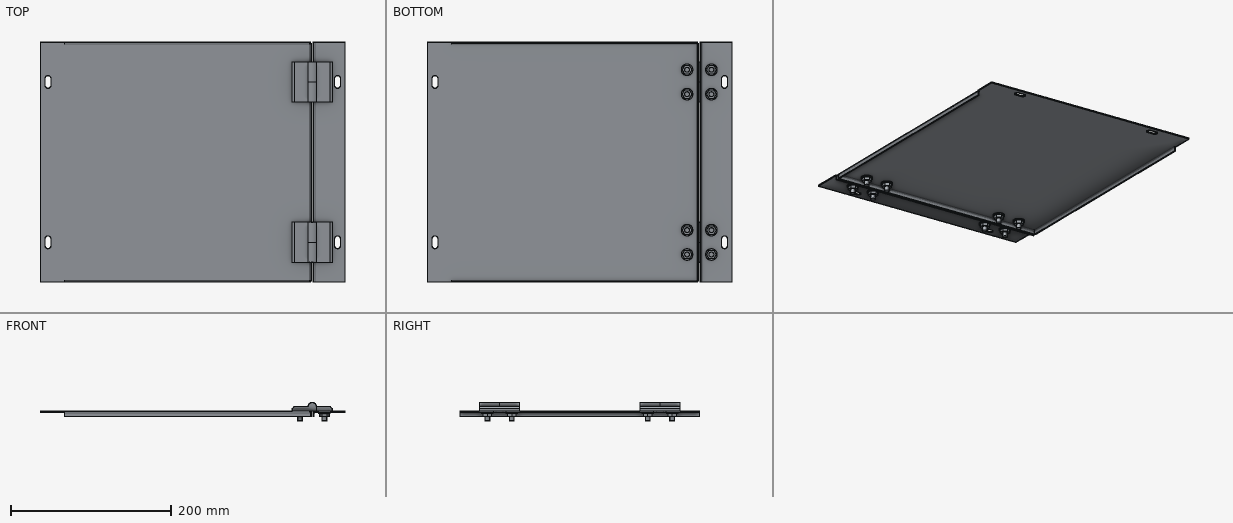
import cadquery as cq

LENGTH = 380.0
WIDTH = 299.0
HINGE_X = 149.0
GAP = 2.0

SHEET = 1.5
BEND_RADIUS = 2.3
FLANGE_DEPTH = 7.0
PLAIN_END = 30.0
CORNER_OVERLAP = 1.0

SLOT_WIDTH = 7.2
SLOT_LENGTH = 15.5
SLOT_INSET = 9.5
STATION_Y = 100.0

HINGE_SIZE = 50.0
LEAF_HEIGHT = 6.0
LEAF_BEVEL = 3.0
KNUCKLE_WIDTH = 10.3
KNUCKLE_HEIGHT = 11.0

STUD_OFFSET = 15.2
STUD_DIAMETER = 6.0
STUD_BOTTOM = -12.0
NUT_FLANGE_DIAMETER = 14.5
NUT_FLANGE_HEIGHT = 1.5
NUT_CORNERS = 12.0
NUT_BOTTOM = -FLANGE_DEPTH

LEFT_X = -LENGTH / 2
RIGHT_X = LENGTH / 2
DOOR_EDGE_X = HINGE_X - GAP / 2
STRIP_EDGE_X = HINGE_X + GAP / 2
HALF_WIDTH = WIDTH / 2
STATIONS = (-STATION_Y, STATION_Y)


def flange(length):
    """Bend and flange along +Y from the origin, turned down at x = 0, with its sheet toward -X."""
    inner_radius = BEND_RADIUS - SHEET
    return (
        cq.Workplane("XZ")
        .moveTo(-BEND_RADIUS, 0)
        .radiusArc((0, -BEND_RADIUS), BEND_RADIUS)
        .lineTo(0, -FLANGE_DEPTH)
        .lineTo(-SHEET, -FLANGE_DEPTH)
        .lineTo(-SHEET, -BEND_RADIUS)
        .radiusArc((-BEND_RADIUS, -SHEET), -inner_radius)
        .close()
        .extrude(-length)
    )


def flat_sheet(x_start, x_end, width):
    """Flat sheet centred on y = 0 with its top on z = 0."""
    return (
        cq.Workplane("XY")
        .rect(x_end - x_start, width)
        .extrude(-SHEET)
        .translate(((x_start + x_end) / 2, 0, 0))
    )


def slots(x):
    """Cutters for the two mounting slots at one end."""
    return (
        cq.Workplane("XY")
        .pushPoints([(x, y) for y in STATIONS])
        .slot2D(SLOT_LENGTH, SLOT_WIDTH, 90)
        .extrude(-SHEET)
    )


def leaf(side, station):
    """One hinge leaf; side is -1 for the door and +1 for the strip, which own the -Y and +Y knuckles."""
    half_size = HINGE_SIZE / 2
    half_knuckle = KNUCKLE_WIDTH / 2
    plate = (
        cq.Workplane("XZ")
        .moveTo(side * half_knuckle, 0)
        .lineTo(side * half_size, 0)
        .lineTo(side * half_size, LEAF_HEIGHT - LEAF_BEVEL)
        .lineTo(side * (half_size - LEAF_BEVEL), LEAF_HEIGHT)
        .lineTo(side * half_knuckle, LEAF_HEIGHT)
        .close()
        .extrude(half_size, both=True)
    )
    knuckle = (
        cq.Workplane("XZ")
        .moveTo(-half_knuckle, 0)
        .lineTo(-half_knuckle, KNUCKLE_HEIGHT - half_knuckle)
        .threePointArc((0, KNUCKLE_HEIGHT), (half_knuckle, KNUCKLE_HEIGHT - half_knuckle))
        .lineTo(half_knuckle, 0)
        .close()
        .extrude(-side * half_size)
    )
    return plate.union(knuckle).translate((HINGE_X, station, 0))


def studs(side, station):
    """The two studs of one leaf with their flanged hexagon nuts."""
    centres = [(HINGE_X + side * STUD_OFFSET, station + step) for step in (-STUD_OFFSET, STUD_OFFSET)]
    flange_bottom = -SHEET - NUT_FLANGE_HEIGHT
    nut_flanges = (
        cq.Workplane("XY", origin=(0, 0, -SHEET))
        .pushPoints(centres)
        .circle(NUT_FLANGE_DIAMETER / 2)
        .extrude(-NUT_FLANGE_HEIGHT)
    )
    nuts = (
        cq.Workplane("XY", origin=(0, 0, flange_bottom))
        .pushPoints(centres)
        .polygon(6, NUT_CORNERS)
        .extrude(NUT_BOTTOM - flange_bottom)
    )
    shanks = (
        cq.Workplane("XY")
        .pushPoints(centres)
        .circle(STUD_DIAMETER / 2)
        .extrude(STUD_BOTTOM)
    )
    return nut_flanges.union(nuts).union(shanks)


def add_hinge_parts(body, side):
    """Join one side of both hinges to its sheet."""
    for station in STATIONS:
        body = body.union(leaf(side, station)).union(studs(side, station))
    return body


def make_door():
    """Door panel with flanges on three sides and the -X leaves of the hinges."""
    flange_start = LEFT_X + PLAIN_END
    bend_start = DOOR_EDGE_X - BEND_RADIUS
    side_end = bend_start + CORNER_OVERLAP
    side_length = side_end - flange_start
    hinge_flange_length = WIDTH - 2 * SHEET
    body = flat_sheet(LEFT_X, flange_start, WIDTH)
    body = body.union(flat_sheet(flange_start, bend_start, WIDTH - 2 * BEND_RADIUS))
    side_flange = flange(side_length)
    body = body.union(side_flange.rotate((0, 0, 0), (0, 0, 1), 90).translate((side_end, HALF_WIDTH, 0)))
    body = body.union(side_flange.rotate((0, 0, 0), (0, 0, 1), -90).translate((flange_start, -HALF_WIDTH, 0)))
    body = body.union(flange(hinge_flange_length).translate((DOOR_EDGE_X, -hinge_flange_length / 2, 0)))
    body = body.cut(slots(LEFT_X + SLOT_INSET))
    return add_hinge_parts(body, -1)


def make_strip():
    """Fixed strip with one flange along the gap and the +X leaves of the hinges."""
    body = flat_sheet(STRIP_EDGE_X + BEND_RADIUS, RIGHT_X, WIDTH)
    body = body.union(flange(WIDTH).rotate((0, 0, 0), (0, 0, 1), 180).translate((STRIP_EDGE_X, HALF_WIDTH, 0)))
    body = body.cut(slots(RIGHT_X - SLOT_INSET))
    return add_hinge_parts(body, 1)


door = make_door()
strip = make_strip()

result = cq.Compound.makeCompound([door.solids().val(), strip.solids().val()])